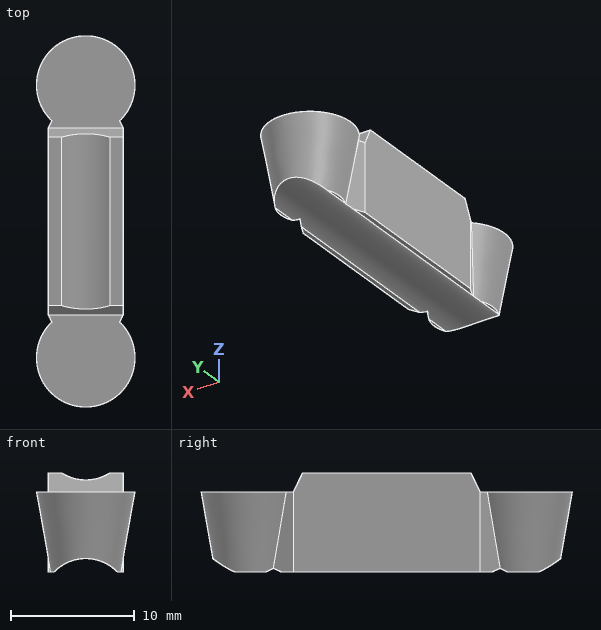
import cadquery as cq
import math

length = 30.0
height = 8.0
body_width = 6.05
body_length = 15.1

head_diameter = 7.98
head_height = 6.48
head_relief_angle = 10.0

end_angle = 26.0

top_groove_width = 3.9
top_groove_depth = 0.57
bottom_groove_width = 5.1
bottom_groove_depth = 1.08

end_slope = math.tan(math.radians(end_angle))
head_radius = head_diameter / 2
head_center = length / 2 - head_radius
head_bottom_radius = head_radius - head_height * math.tan(math.radians(head_relief_angle))
half_body = body_length / 2
half_width = body_width / 2


def make_body():
    """Central block whose ends lean inwards above the heads."""
    half_top = half_body - (height - head_height) * end_slope
    return (
        cq.Workplane("YZ")
        .polyline([
            (-half_body, 0),
            (half_body, 0),
            (half_body, head_height),
            (half_top, height),
            (-half_top, height),
            (-half_body, head_height),
        ])
        .close()
        .extrude(half_width, both=True)
    )


def make_necks():
    """Necks narrowing from the body to the centres of both heads."""
    half_tip = half_width - (head_center - half_body) * end_slope
    return (
        cq.Workplane("XY")
        .polyline([
            (-half_tip, -head_center),
            (half_tip, -head_center),
            (half_width, -half_body),
            (half_width, half_body),
            (half_tip, head_center),
            (-half_tip, head_center),
            (-half_width, half_body),
            (-half_width, -half_body),
        ])
        .close()
        .extrude(head_height)
    )


def make_head(center_y):
    """Cone with its wide face up, level with the necks."""
    cone = cq.Solid.makeCone(head_bottom_radius, head_radius, head_height)
    return cq.Workplane(cone.translate(cq.Vector(0, center_y, 0)))


def make_groove(width, depth, face_z, inward):
    """Full-length cutter of circular section; inward is the Z direction into the part."""
    radius = ((width / 2) ** 2 + depth ** 2) / (2 * depth)
    axis_z = face_z + inward * (depth - radius)
    return (
        cq.Workplane("XZ")
        .center(0, axis_z)
        .circle(radius)
        .extrude(length, both=True)
    )


result = make_body().union(make_necks())
for side in (-1, 1):
    result = result.union(make_head(side * head_center))
result = result.cut(make_groove(top_groove_width, top_groove_depth, height, -1))
result = result.cut(make_groove(bottom_groove_width, bottom_groove_depth, 0, 1))